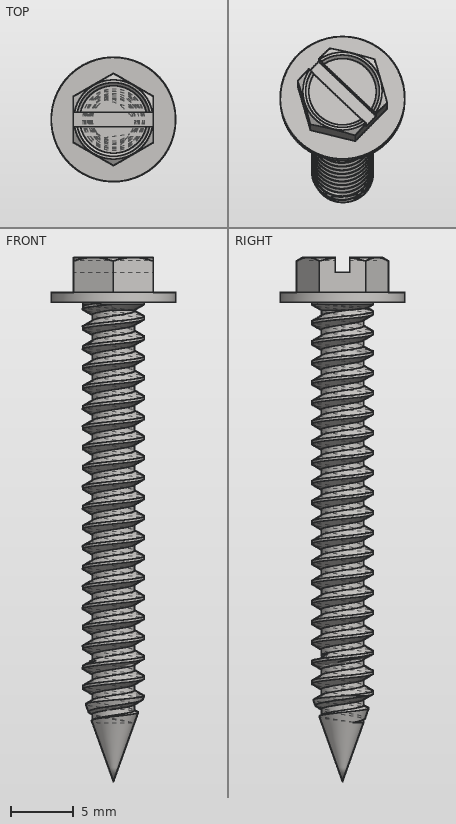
import cadquery as cq
import math

shank_length = 38.1
washer_diameter = 9.91
washer_radius = washer_diameter / 2
washer_thickness = 0.8
hex_across_flats = 6.35
hex_height = 2.78
head_top = washer_thickness + hex_height

rim_outer_radius = 3.15
rim_inner_radius = 2.93
corner_bevel_angle = 30
dish_depth = 0.25
dish_floor_radius = rim_inner_radius - dish_depth

slot_width = 1.13
slot_depth = 1.17

pitch = 1.5875
major_radius = 2.46
core_radius = 1.69
crest_width = 0.22
flank_half_angle = 30
crest_offset = 0.354
turns_below_offset = 22
thread_turns = turns_below_offset + 0.5
core_top = 1.9
core_overlap = 0.1

collar_height = 0.17
point_half_angle = 19.8

flank_slope = math.tan(math.radians(flank_half_angle))
flank_height = (major_radius - core_radius) * flank_slope


def make_head():
    """Washer and slotted hexagon, with two hexagon flats facing -X and +X."""
    washer = cq.Workplane("XY").circle(washer_radius).extrude(washer_thickness)
    hex_across_corners = hex_across_flats / math.cos(math.pi / 6)
    hexagon = (
        cq.Workplane("XY")
        .workplane(offset=washer_thickness)
        .transformed(rotate=(0, 0, 90))
        .polygon(6, hex_across_corners)
        .extrude(hex_height)
    )
    hexagon = hexagon.intersect(make_crown_envelope())
    return washer.union(hexagon).cut(make_slot())


def make_crown_envelope():
    """Turned solid that bevels the hexagon corners and leaves the dish in its top."""
    bevel_drop = (washer_radius - rim_outer_radius) * math.tan(math.radians(corner_bevel_angle))
    return (
        cq.Workplane("XZ")
        .moveTo(0, 0)
        .lineTo(washer_radius, 0)
        .lineTo(washer_radius, head_top - bevel_drop)
        .lineTo(rim_outer_radius, head_top)
        .lineTo(rim_inner_radius, head_top)
        .lineTo(dish_floor_radius, head_top - dish_depth)
        .lineTo(0, head_top - dish_depth)
        .close()
        .revolve(360, (0, 0, 0), (0, 1, 0))
    )


def make_slot():
    """Screwdriver slot running along X, right across the head."""
    return (
        cq.Workplane("XY")
        .workplane(offset=head_top - slot_depth)
        .rect(washer_diameter, slot_width)
        .extrude(slot_depth)
    )


def make_ridge():
    """Helical thread ridge, from below the start of the point up into the head."""
    root_radius = core_radius - core_overlap
    half_crest = crest_width / 2
    half_root = half_crest + (major_radius - root_radius) * flank_slope
    helix = cq.Wire.makeHelix(pitch, thread_turns * pitch, core_radius)
    ridge = (
        cq.Workplane("XZ")
        .moveTo(root_radius, -half_root)
        .lineTo(major_radius, -half_crest)
        .lineTo(major_radius, half_crest)
        .lineTo(root_radius, half_root)
        .close()
        .sweep(cq.Workplane(obj=helix), isFrenet=True)
    )
    return ridge.translate((0, 0, crest_offset - turns_below_offset * pitch))


def make_core():
    """Plain round core, from the tip up into the head beyond the end of the ridge."""
    return (
        cq.Workplane("XY")
        .workplane(offset=-shank_length)
        .circle(core_radius)
        .extrude(shank_length + core_top)
    )


def make_collar():
    """Full-diameter collar under the washer, tapering down to the core."""
    return (
        cq.Workplane("XZ")
        .moveTo(0, 0)
        .lineTo(major_radius, 0)
        .lineTo(major_radius, -collar_height)
        .lineTo(core_radius, -collar_height - flank_height)
        .lineTo(0, -collar_height - flank_height)
        .close()
        .revolve(360, (0, 0, 0), (0, 1, 0))
    )


def make_point_envelope():
    """Pointed cylinder that trims both core and ridge to the cone of the tip."""
    point_length = washer_radius / math.tan(math.radians(point_half_angle))
    return (
        cq.Workplane("XZ")
        .moveTo(0, -shank_length)
        .lineTo(washer_radius, point_length - shank_length)
        .lineTo(washer_radius, head_top)
        .lineTo(0, head_top)
        .close()
        .revolve(360, (0, 0, 0), (0, 1, 0))
    )


shank = make_core().union(make_ridge()).intersect(make_point_envelope())
result = make_head().union(make_collar()).union(shank).solids()